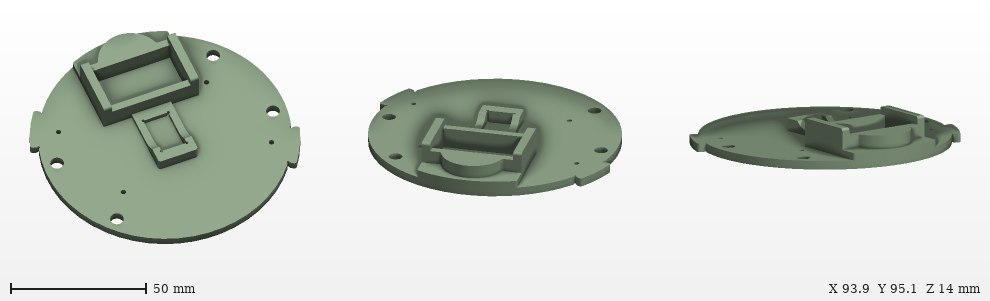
import cadquery as cq
import math

plate_diameter = 93.9
plate_radius = plate_diameter / 2
plate_thickness = 3.2

tab_outer_radius = 50.0
tab_middle_angles = (63, 243)
tab_span_angle = 20
relief_radius = 0.5
relief_mouth_round = 0.5
edge_round = 1.0

bolt_circle_radius = 41.65
bolt_hole_diameter = 5.0
bolt_hole_angles = (84, 132, 264, 312)
pin_hole_diameter = 2.0
pin_hole_x = 17.4
pin_hole_far_y = 35.4
pin_hole_near_y = 24.0

deck_top = 6.0

box_left = -35.9
box_right = -13.0
box_width = 38
box_height = 14.0
end_wall = 3.2
side_wall = 2.9
side_wall_top = 10.9

nose_radius = 12.1
nose_center_x = -32.7
nose_blend = 0.95

cradle_right = 13.0
cradle_width = 15.7
cradle_low_top = 5.1
cradle_high_top = 8.0
ramp_start_x = 0.1
ramp_radius = 8.6
pocket_left = -8.75
pocket_right = 8.75
pocket_width = 10.1
pocket_relief_radius = 0.6


def polar(radius, angle):
    radians = math.radians(angle)
    return (radius * math.cos(radians), radius * math.sin(radians))


def block(x_min, x_max, width, z_min, z_max):
    """Box centred on the X axis."""
    size = (x_max - x_min, width, z_max - z_min)
    return cq.Workplane("XY").box(*size, centered=(False, True, False)).translate((x_min, 0, z_min))


def make_tab(middle_angle):
    """Sector from the plate centre with radial ends and rounded outer corners."""
    start = middle_angle - tab_span_angle / 2
    end = middle_angle + tab_span_angle / 2
    outer_middle = polar(tab_outer_radius, middle_angle)
    sector = (
        cq.Workplane("XY")
        .lineTo(*polar(tab_outer_radius, start))
        .threePointArc(outer_middle, polar(tab_outer_radius, end))
        .close()
        .extrude(plate_thickness)
    )
    for angle in (start, end):
        corner = cq.NearestToPointSelector((*polar(tab_outer_radius, angle), plate_thickness / 2))
        sector = sector.edges("|Z").edges(corner).fillet(edge_round)
    return sector


def make_plate():
    """Disc with tabs, and a small round relief at each tab root that opens smoothly onto the rim."""
    plate = cq.Workplane("XY").circle(plate_radius).extrude(plate_thickness)
    relief_places = []
    mouth_places = []
    mouth_half_angle = math.degrees(2 * math.asin(relief_radius / (2 * plate_radius)))
    for middle_angle in tab_middle_angles:
        plate = plate.union(make_tab(middle_angle))
        for side in (-1, 1):
            root_angle = middle_angle + side * tab_span_angle / 2
            relief_places.append(polar(plate_radius, root_angle))
            mouth_places.append(polar(plate_radius, root_angle + side * mouth_half_angle))
    reliefs = cq.Workplane("XY").pushPoints(relief_places).circle(relief_radius).extrude(plate_thickness)
    plate = plate.cut(reliefs)
    for x, y in mouth_places:
        mouth_edge = cq.NearestToPointSelector((x, y, plate_thickness / 2))
        plate = plate.edges("|Z").edges(mouth_edge).fillet(relief_mouth_round)
    return plate


def make_holes():
    bolt_places = [polar(bolt_circle_radius, angle) for angle in bolt_hole_angles]
    bolts = cq.Workplane("XY").pushPoints(bolt_places).circle(bolt_hole_diameter / 2).extrude(plate_thickness)
    pin_places = []
    for side in (-1, 1):
        pin_places.append((side * pin_hole_x, side * pin_hole_far_y))
        pin_places.append((side * pin_hole_x, -side * pin_hole_near_y))
    pins = cq.Workplane("XY").pushPoints(pin_places).circle(pin_hole_diameter / 2).extrude(plate_thickness)
    return bolts.union(pins)


def make_deck():
    """Step from the box out to the rim, with its two rim corners rounded."""
    disc = cq.Workplane("XY").circle(plate_radius).extrude(deck_top)
    deck = disc.intersect(block(-plate_radius, box_left, box_width, plate_thickness, deck_top))
    rim_x = -math.sqrt(plate_radius**2 - (box_width / 2) ** 2)
    middle_z = (plate_thickness + deck_top) / 2
    for side in (-1, 1):
        corner = cq.NearestToPointSelector((rim_x, side * box_width / 2, middle_z))
        deck = deck.edges("|Z").edges(corner).fillet(edge_round)
    return deck


def make_box():
    """Shell with tall end walls and lower side walls, joined to a solid round nose."""
    shell = block(box_left, box_right, box_width, plate_thickness, box_height)
    shell = shell.edges("|Y and >Z").fillet(edge_round)
    inner_width = box_width - 2 * end_wall
    shell = shell.cut(block(box_left, box_right, inner_width, side_wall_top, box_height))

    nose = (
        cq.Workplane("XY", origin=(nose_center_x, 0, deck_top))
        .circle(nose_radius)
        .extrude(side_wall_top - deck_top)
    )
    corner_y = math.sqrt(nose_radius**2 - (box_left - nose_center_x) ** 2)
    middle_z = (deck_top + side_wall_top) / 2
    body = shell.union(nose)
    for side in (-1, 1):
        corner = cq.NearestToPointSelector((box_left, side * corner_y, middle_z))
        body = body.edges("|Z").edges(corner).fillet(nose_blend)

    cavity = block(box_left + side_wall, box_right - side_wall, inner_width, plate_thickness, box_height)
    return body.cut(cavity)


def make_cradle():
    """Low arms that sweep up to a raised end, around a pocket with relieved corners."""
    rise = cradle_high_top - cradle_low_top
    ramp_angle = math.acos(1 - rise / ramp_radius)
    ramp_end_x = ramp_start_x + ramp_radius * math.sin(ramp_angle)
    ramp_middle = (
        ramp_start_x + ramp_radius * math.sin(ramp_angle / 2),
        cradle_low_top + ramp_radius * (1 - math.cos(ramp_angle / 2)),
    )
    body = (
        cq.Workplane("XZ")
        .moveTo(box_right, plate_thickness)
        .lineTo(box_right, cradle_low_top)
        .lineTo(ramp_start_x, cradle_low_top)
        .threePointArc(ramp_middle, (ramp_end_x, cradle_high_top))
        .lineTo(cradle_right, cradle_high_top)
        .lineTo(cradle_right, plate_thickness)
        .close()
        .extrude(cradle_width / 2, both=True)
    )
    ramp_top = cq.NearestToPointSelector((ramp_end_x, 0, cradle_high_top))
    body = body.edges("|Y").edges(ramp_top).fillet(edge_round)
    body = body.edges("|Z and >X").fillet(edge_round)

    pocket = block(pocket_left, pocket_right, pocket_width, plate_thickness, cradle_high_top)
    corners = [(x, side * pocket_width / 2) for x in (pocket_left, pocket_right) for side in (-1, 1)]
    reliefs = (
        cq.Workplane("XY", origin=(0, 0, plate_thickness))
        .pushPoints(corners)
        .circle(pocket_relief_radius)
        .extrude(cradle_high_top - plate_thickness)
    )
    return body.cut(pocket).cut(reliefs)


result = make_plate().union(make_deck()).union(make_box()).union(make_cradle()).cut(make_holes())